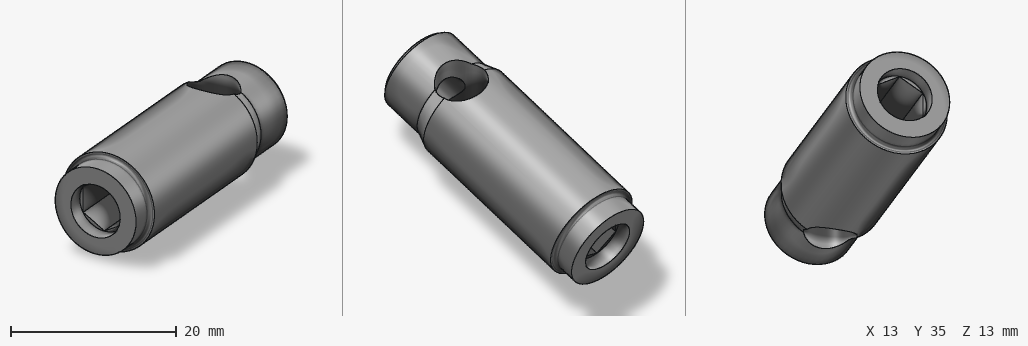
import cadquery as cq
import math

length = 35.0
body_radius = 13.0 / 2
neck_radius = 11.5 / 2

spigot_length = 3.0
shoulder_fillet = 0.5

neck_length = 6.5
cone_angle = 20.0
cone_length = (body_radius - neck_radius) / math.tan(math.radians(cone_angle))
cone_rear = length - neck_length
cone_front = cone_rear - cone_length
rear_chamfer = 0.5

cross_hole_diameter = 6.5
cross_hole_from_rear = 8.0

bore_diameter = 4.9
counterbore_diameter = 7.0
counterbore_depth = 2.0
hex_sides = 6
hex_across_flats = 6.0
hex_socket_end = 10.0


def turned_body():
    """Revolve the outer half outline about the Y axis."""
    fillet_start = spigot_length - shoulder_fillet
    fillet_center_radius = neck_radius + shoulder_fillet
    fillet_leg = shoulder_fillet * math.sqrt(0.5)
    outline = (
        cq.Workplane("XY")
        .lineTo(neck_radius, 0)
        .lineTo(neck_radius, fillet_start)
        .threePointArc(
            (fillet_center_radius - fillet_leg, fillet_start + fillet_leg),
            (fillet_center_radius, spigot_length),
        )
        .lineTo(body_radius, spigot_length)
        .lineTo(body_radius, cone_front)
        .lineTo(neck_radius, cone_rear)
        .lineTo(neck_radius, length - rear_chamfer)
        .lineTo(neck_radius - rear_chamfer, length)
        .lineTo(0, length)
        .close()
    )
    return outline.revolve(360, (0, 0, 0), (0, 1, 0))


def axial_plane():
    """Workplane on the front face whose normal points along +Y."""
    return cq.Workplane(cq.Plane(origin=(0, 0, 0), xDir=(0, 0, 1), normal=(0, 1, 0)))


def axial_bore():
    return axial_plane().circle(bore_diameter / 2).extrude(length)


def counterbore():
    return axial_plane().circle(counterbore_diameter / 2).extrude(counterbore_depth)


def hex_socket():
    """Hexagon with two corners on the Z axis."""
    across_corners = hex_across_flats / math.cos(math.pi / hex_sides)
    return axial_plane().polygon(hex_sides, across_corners).extrude(hex_socket_end)


def cross_hole():
    return (
        cq.Workplane("XY")
        .center(0, length - cross_hole_from_rear)
        .circle(cross_hole_diameter / 2)
        .extrude(body_radius, both=True)
    )


result = (
    turned_body()
    .cut(axial_bore())
    .cut(counterbore())
    .cut(hex_socket())
    .cut(cross_hole())
)